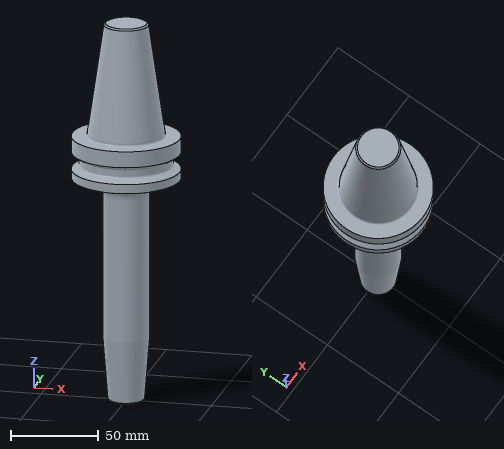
import cadquery as cq
import math

total_height = 225.5
gauge_z = 160.0
flange_top_z = 158.0
flange_bottom_z = 133.0
groove_top_z = 148.5
groove_bottom_z = 138.5
nose_top_z = 38.3

gauge_radius = 22.3
flange_radius = 31.5
groove_radius = 27.0
stem_radius = 13.5

taper_ratio = 7 / 24
nose_angle = math.radians(4.5)
groove_wall_angle = math.radians(30)

top_chamfer = 1.0
nose_chamfer = 1.1
neck_fillet = 1.1
groove_fillet = 1.0
stem_fillet = 9.7

taper_end_radius = gauge_radius - (total_height - gauge_z) * taper_ratio / 2
nose_end_radius = stem_radius - nose_top_z * math.tan(nose_angle)


def make_taper():
    """Steep taper, with a short cylindrical neck blending into the flange."""
    blend_radius = gauge_radius + neck_fillet
    arc_offset = neck_fillet * math.sqrt(0.5)
    arc_middle = (blend_radius - arc_offset, flange_top_z + neck_fillet - arc_offset)
    profile = (
        cq.Workplane("XZ")
        .moveTo(0, flange_bottom_z)
        .lineTo(blend_radius, flange_bottom_z)
        .lineTo(blend_radius, flange_top_z)
        .threePointArc(arc_middle, (gauge_radius, flange_top_z + neck_fillet))
        .lineTo(gauge_radius, gauge_z)
        .lineTo(taper_end_radius, total_height)
        .lineTo(0, total_height)
        .close()
    )
    return profile.revolve(360, (0, 0), (0, 1)).faces(">Z").edges().chamfer(top_chamfer)


def make_flange():
    """Flange with a V groove whose floor corners are rounded."""
    wall_height = (flange_radius - groove_radius) * math.tan(groove_wall_angle)
    profile = cq.Workplane("XZ").polyline([
        (0, flange_bottom_z),
        (flange_radius, flange_bottom_z),
        (flange_radius, groove_bottom_z),
        (groove_radius, groove_bottom_z + wall_height),
        (groove_radius, groove_top_z - wall_height),
        (flange_radius, groove_top_z),
        (flange_radius, flange_top_z),
        (0, flange_top_z),
    ]).close()
    floor_edges = cq.selectors.RadiusNthSelector(0)
    flange = profile.revolve(360, (0, 0), (0, 1))
    return flange.edges("%CIRCLE").edges(floor_edges).fillet(groove_fillet)


def make_stem():
    """Long stem, flared into the flange and narrowed to a chamfered nose."""
    flare_radius = stem_radius + stem_fillet
    flare_end_z = flange_bottom_z - stem_fillet
    arc_offset = stem_fillet * math.sqrt(0.5)
    arc_middle = (flare_radius - arc_offset, flare_end_z + arc_offset)
    profile = (
        cq.Workplane("XZ")
        .lineTo(nose_end_radius, 0)
        .lineTo(stem_radius, nose_top_z)
        .lineTo(stem_radius, flare_end_z)
        .threePointArc(arc_middle, (flare_radius, flange_bottom_z))
        .lineTo(0, flange_bottom_z)
        .close()
    )
    return profile.revolve(360, (0, 0), (0, 1)).faces("<Z").edges().chamfer(nose_chamfer)


result = make_flange().union(make_taper()).union(make_stem())